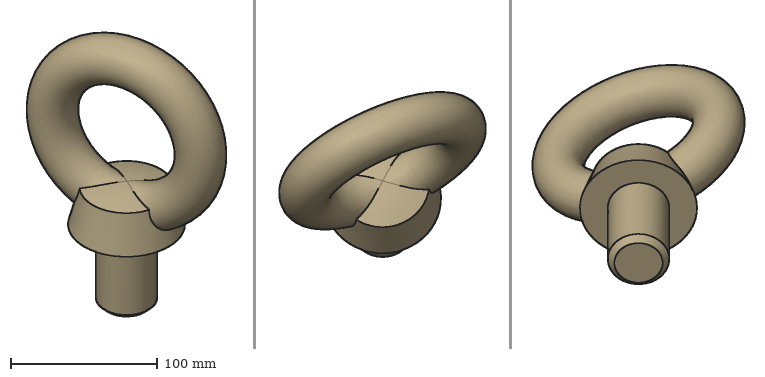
import cadquery as cq
import math

ring_inner_diameter = 80.0
ring_section_diameter = 35.5
ring_mean_radius = (ring_inner_diameter + ring_section_diameter) / 2

collar_base_diameter = 80.0
collar_top_diameter = 64.0
collar_edge_height = 30.5
crown_peak_height = 35.5

ring_center_height = crown_peak_height + ring_inner_diameter / 2

shank_diameter = 42.0
shank_length = 65.0
shank_tip_diameter = 33.0
shank_chamfer = (shank_diameter - shank_tip_diameter) / 2


def make_ring():
    """Ring of round section about a Y axis, its start section buried in the collar."""
    section_height = ring_center_height - ring_mean_radius
    section = cq.Workplane("YZ").center(0, section_height).circle(ring_section_diameter / 2)
    return section.revolve(360, (0, ring_mean_radius, 0), (1, ring_mean_radius, 0))


def crown_midpoint():
    """Point halfway along the crown's arc, from the collar's top edge to the peak."""
    edge_radius = collar_top_diameter / 2
    rise = crown_peak_height - collar_edge_height
    sphere_radius = (edge_radius**2 + rise**2) / (2 * rise)
    half_angle = math.asin(edge_radius / sphere_radius) / 2
    drop = sphere_radius * (1 - math.cos(half_angle))
    return sphere_radius * math.sin(half_angle), crown_peak_height - drop


def make_stem():
    """Shank with a chamfered tip and tapered collar with a domed crown, turned about Z."""
    profile = (
        cq.Workplane("XZ")
        .moveTo(0, -shank_length)
        .lineTo(shank_tip_diameter / 2, -shank_length)
        .lineTo(shank_diameter / 2, -shank_length + shank_chamfer)
        .lineTo(shank_diameter / 2, 0)
        .lineTo(collar_base_diameter / 2, 0)
        .lineTo(collar_top_diameter / 2, collar_edge_height)
        .threePointArc(crown_midpoint(), (0, crown_peak_height))
        .close()
    )
    return profile.revolve(360, (0, 0, 0), (0, 1, 0))


eye_bolt = make_stem().union(make_ring())
result = cq.Workplane(obj=eye_bolt.solids().val())